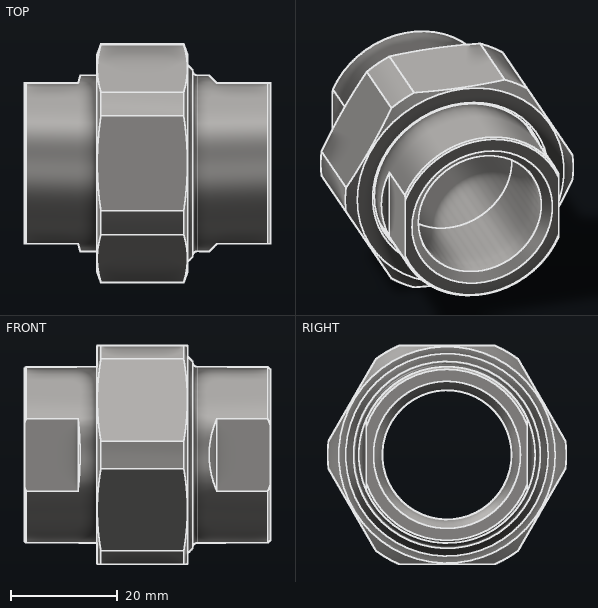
import cadquery as cq
import math

LENGTH = 46.0
BORE_DIA = 24.1
BORE_MOUTH_DIA = 27.5
BORE_MOUTH_DEPTH = 1.45
PIPE_DIA = 33.0

FLATS_WIDTH = 30.1
FLATS_LENGTH = 10.05
TAIL_FLATS_SLOPE = 15.0
THREADED_FLATS_SLOPE = 45.0

NUT_START = 13.52
NUT_END = 30.55
NUT_ACROSS_FLATS = 41.0
NUT_CORNER_DIA = 44.65
NUT_FACE_DIA = 40.5
NUT_BEVEL_ANGLE = 20.0
NUT_LIP_BORE_DIA = 33.5
NUT_LIP_CHAMFER = 0.5
NUT_LIP_THICKNESS = 3.2
THREAD_DIA = 37.85

TAIL_END_CHAMFER = 0.3
COLLAR_DIA = 36.4
COLLAR_START = NUT_START + NUT_LIP_THICKNESS
COLLAR_LENGTH = 3.2
JOINT = COLLAR_START + COLLAR_LENGTH

THREADED_END_CHAMFER = 0.5
SHOULDER_X = 31.45
SHOULDER_DIA = 34.95
SHOULDER_FILLET = 0.85


def revolve_profile(profile):
    """Turn an (x, radius) profile, drawn in the XY plane, about the X axis."""
    return profile.close().revolve(360, (0, 0, 0), (1, 0, 0))


def cylinder(dia, start, end):
    return cq.Workplane("YZ").workplane(offset=start).circle(dia / 2).extrude(end - start)


def mouth_cone():
    """Countersink that opens the bore at the X = 0 end."""
    return revolve_profile(
        cq.Workplane("XY")
        .lineTo(0, BORE_MOUTH_DIA / 2)
        .lineTo(BORE_MOUTH_DEPTH, BORE_DIA / 2)
        .lineTo(BORE_MOUTH_DEPTH, 0)
    )


def flats_cutter(slope):
    """Two side pieces that cut the wrench flats at the X = 0 end, closed by sloping walls."""
    flat_y = FLATS_WIDTH / 2
    outer_y = PIPE_DIA / 2 + 0.45
    outer_x = FLATS_LENGTH + (outer_y - flat_y) * math.tan(math.radians(slope))
    side = (
        cq.Workplane("XY")
        .polyline([(0, flat_y), (FLATS_LENGTH, flat_y), (outer_x, outer_y), (0, outer_y)])
        .close()
        .extrude(PIPE_DIA / 2, both=True)
    )
    return side.union(side.mirror("XZ"))


def at_far_end(cutter):
    """Turn a cutter for the X = 0 end round to the X = LENGTH end."""
    return cutter.mirror("YZ").translate((LENGTH, 0, 0))


def make_tail_piece():
    pipe = cylinder(PIPE_DIA, 0, JOINT).faces("<X").chamfer(TAIL_END_CHAMFER)
    body = pipe.union(cylinder(COLLAR_DIA, COLLAR_START, JOINT))
    body = body.cut(cylinder(BORE_DIA, 0, JOINT))
    return body.cut(mouth_cone()).cut(flats_cutter(TAIL_FLATS_SLOPE))


def make_threaded_piece():
    pipe_r = PIPE_DIA / 2
    thread_r = THREAD_DIA / 2
    shoulder_r = SHOULDER_DIA / 2
    cone_start = SHOULDER_X - (thread_r - shoulder_r)
    arc_inset = SHOULDER_FILLET * (1 - math.sqrt(0.5))
    body = revolve_profile(
        cq.Workplane("XY")
        .moveTo(JOINT, 0)
        .lineTo(JOINT, thread_r)
        .lineTo(cone_start, thread_r)
        .lineTo(SHOULDER_X, shoulder_r)
        .lineTo(SHOULDER_X, pipe_r + SHOULDER_FILLET)
        .threePointArc(
            (SHOULDER_X + arc_inset, pipe_r + arc_inset),
            (SHOULDER_X + SHOULDER_FILLET, pipe_r),
        )
        .lineTo(LENGTH - THREADED_END_CHAMFER, pipe_r)
        .lineTo(LENGTH, pipe_r - THREADED_END_CHAMFER)
        .lineTo(LENGTH, 0)
    )
    body = body.cut(cylinder(BORE_DIA, JOINT, LENGTH))
    body = body.cut(at_far_end(mouth_cone()))
    return body.cut(at_far_end(flats_cutter(THREADED_FLATS_SLOPE)))


def make_nut():
    hexagon = (
        cq.Workplane("YZ")
        .workplane(offset=NUT_START)
        .polygon(6, NUT_ACROSS_FLATS / math.cos(math.radians(30)))
        .extrude(NUT_END - NUT_START)
    )
    face_r = NUT_FACE_DIA / 2
    corner_r = NUT_CORNER_DIA / 2
    bevel = (corner_r - face_r) * math.tan(math.radians(NUT_BEVEL_ANGLE))
    blank = revolve_profile(
        cq.Workplane("XY")
        .moveTo(NUT_START, 0)
        .lineTo(NUT_START, face_r)
        .lineTo(NUT_START + bevel, corner_r)
        .lineTo(NUT_END - bevel, corner_r)
        .lineTo(NUT_END, face_r)
        .lineTo(NUT_END, 0)
    )
    lip_r = NUT_LIP_BORE_DIA / 2
    bore = revolve_profile(
        cq.Workplane("XY")
        .moveTo(NUT_START, 0)
        .lineTo(NUT_START, lip_r + NUT_LIP_CHAMFER)
        .lineTo(NUT_START + NUT_LIP_CHAMFER, lip_r)
        .lineTo(COLLAR_START, lip_r)
        .lineTo(COLLAR_START, THREAD_DIA / 2)
        .lineTo(NUT_END, THREAD_DIA / 2)
        .lineTo(NUT_END, 0)
    )
    return hexagon.intersect(blank).cut(bore)


tail_piece = make_tail_piece()
threaded_piece = make_threaded_piece()
nut = make_nut()

result = cq.Compound.makeCompound([tail_piece.val(), threaded_piece.val(), nut.val()])